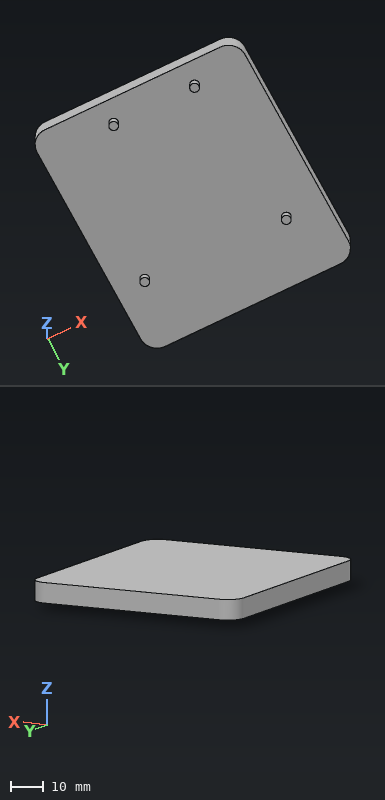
import cadquery as cq

width = 71.8
length = 81.2
total_height = 9.0
corner_radius = 5.7

pin_diameter = 3.0
pin_length = 2.5
plate_thickness = total_height - pin_length

front_row_y = -33.05
front_left_x = -10.4
front_row_spacing = 27.9

rear_left_y = 17.6
rear_right_setback = 1.4
left_outboard_offset = 15.2
right_outboard_offset = 5.0

front_right_x = front_left_x + front_row_spacing
pin_centers = [
    (front_left_x, front_row_y),
    (front_right_x, front_row_y),
    (front_left_x - left_outboard_offset, rear_left_y),
    (front_right_x + right_outboard_offset, rear_left_y + rear_right_setback),
]


def make_plate():
    """Flat plate with rounded vertical corners, its underside at Z = 0."""
    plate = cq.Workplane("XY").rect(width, length).extrude(plate_thickness)
    return plate.edges("|Z").fillet(corner_radius)


def make_pins():
    """Round pins hanging down from the underside of the plate."""
    return cq.Workplane("XY").pushPoints(pin_centers).circle(pin_diameter / 2).extrude(-pin_length)


result = make_plate().union(make_pins())